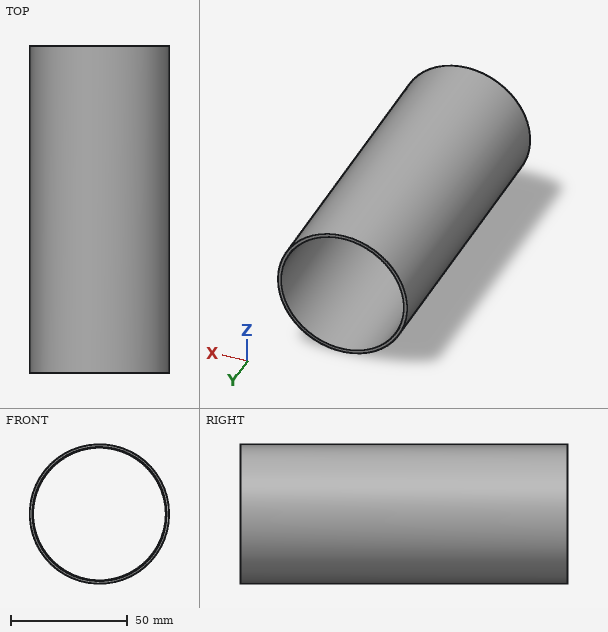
import cadquery as cq

tube_length = 140.0
outer_diameter = 59.8
bore_diameter = 56.7
socket_diameter = 57.5
socket_depth = 20.0


def cylinder_from_front(diameter, length):
    """Solid cylinder starting at the front end plane and running toward +Y."""
    front_plane = cq.Workplane("XZ", origin=(0, -tube_length / 2, 0))
    return front_plane.circle(diameter / 2).extrude(-length)


body = cylinder_from_front(outer_diameter, tube_length)
bore = cylinder_from_front(bore_diameter, tube_length)
socket = cylinder_from_front(socket_diameter, socket_depth)

result = body.cut(bore).cut(socket)